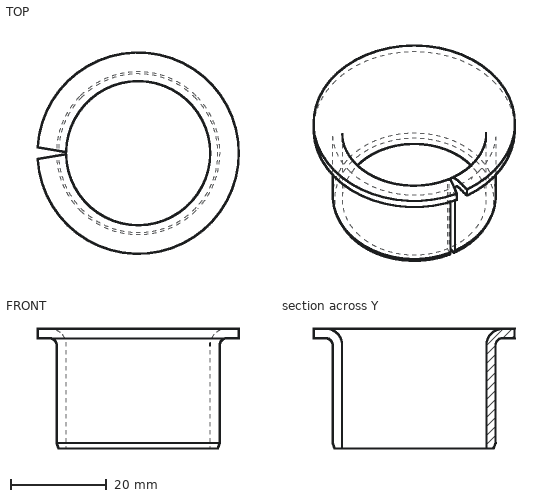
import cadquery as cq
import math

flange_diameter = 42.0
bore_diameter = 29.97
wall = 2.0
height = 25.0
outer_bend_radius = 1.45
chamfer_height = 1.18
chamfer_angle = 20.0
slit_inner_width = 0.38
slit_side_angle = 9.5

flange_radius = flange_diameter / 2
bore_radius = bore_diameter / 2
sleeve_radius = bore_radius + wall
inner_bend_radius = outer_bend_radius + wall
bend_center_radius = sleeve_radius + outer_bend_radius
bend_center_z = height - inner_bend_radius
chamfer_width = chamfer_height * math.tan(math.radians(chamfer_angle))
bend_cosine = math.cos(math.radians(45))


def bend_middle(radius):
    """Midpoint of a quarter bend, as (distance from axis, height)."""
    return bend_center_radius - radius * bend_cosine, bend_center_z + radius * bend_cosine


def flanged_sleeve():
    """Constant-thickness wall bent outward into a flange, revolved about Z."""
    return (
        cq.Workplane("XZ")
        .moveTo(bore_radius, 0)
        .lineTo(sleeve_radius - chamfer_width, 0)
        .lineTo(sleeve_radius, chamfer_height)
        .lineTo(sleeve_radius, bend_center_z)
        .threePointArc(bend_middle(outer_bend_radius), (bend_center_radius, height - wall))
        .lineTo(flange_radius, height - wall)
        .lineTo(flange_radius, height)
        .lineTo(bend_center_radius, height)
        .threePointArc(bend_middle(inner_bend_radius), (bore_radius, bend_center_z))
        .close()
        .revolve(360, (0, 0, 0), (0, 1, 0))
    )


def slit_cutter():
    """Wedge on the -X side that widens outward through the whole height."""
    side_slope = math.tan(math.radians(slit_side_angle))
    apex_radius = bore_radius - slit_inner_width / 2 / side_slope
    end_radius = flange_radius + wall
    end_half_width = (end_radius - apex_radius) * side_slope
    return (
        cq.Workplane("XY")
        .polyline([(-apex_radius, 0), (-end_radius, end_half_width), (-end_radius, -end_half_width)])
        .close()
        .extrude(height)
    )


result = flanged_sleeve().cut(slit_cutter())